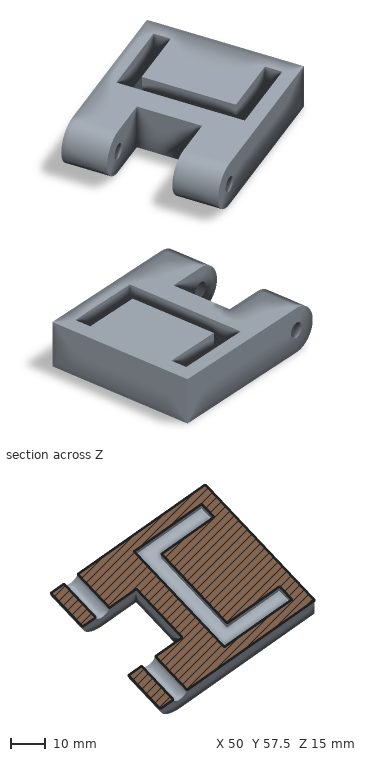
import cadquery as cq

width = 50.0
height = 15.0
knuckle_radius = height / 2
pin_to_back = 50.0
pin_diameter = 5.0

gap_width = 20.8
gap_depth = 20.0

groove_outer_width = 41.0
groove_length = 25.0
groove_width = 5.5
groove_depth = 10.0
groove_to_back = 5.0

back_y = pin_to_back
front_y = -knuckle_radius
top_z = knuckle_radius


def top_box(size_x, y_min, y_max, depth):
    """Box centred on X = 0 that reaches down from the top face by depth."""
    return (
        cq.Workplane("XY")
        .box(size_x, y_max - y_min, depth, centered=(True, False, False))
        .translate((0, y_min, top_z - depth))
    )


def make_body():
    """Block with a full-round front edge."""
    return (
        cq.Workplane("YZ")
        .moveTo(0, top_z)
        .lineTo(back_y, top_z)
        .lineTo(back_y, -top_z)
        .lineTo(0, -top_z)
        .threePointArc((front_y, 0), (0, top_z))
        .close()
        .extrude(width / 2, both=True)
    )


def make_knuckle_gap():
    """Opening through the full height between the knuckles."""
    return top_box(gap_width, front_y, front_y + gap_depth, height)


def make_pin_hole():
    """Hinge pin bore through both knuckles."""
    return cq.Workplane("YZ").circle(pin_diameter / 2).extrude(width / 2, both=True)


def make_groove():
    """U-shaped groove left around a flush central island."""
    groove_back_y = back_y - groove_to_back
    groove_front_y = groove_back_y - groove_length
    pocket = top_box(groove_outer_width, groove_front_y, groove_back_y, groove_depth)
    island_width = groove_outer_width - 2 * groove_width
    island = top_box(island_width, groove_front_y + groove_width, groove_back_y, groove_depth)
    return pocket.cut(island)


result = make_body().cut(make_knuckle_gap()).cut(make_pin_hole()).cut(make_groove())